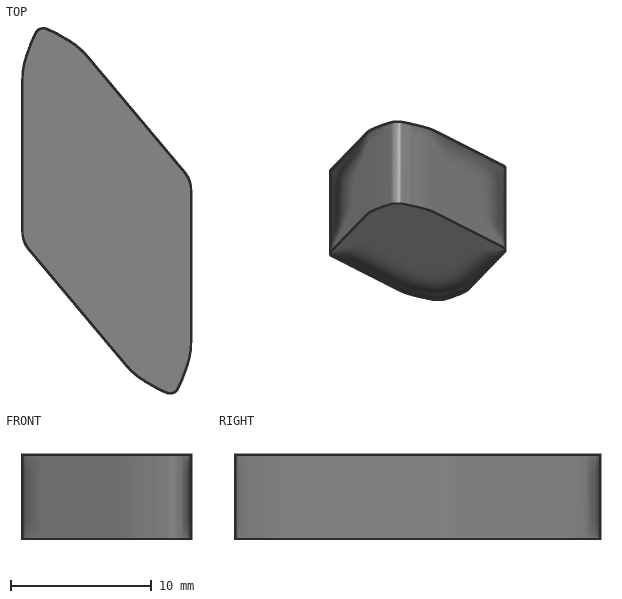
import cadquery as cq
import math

thickness = 6.0
inscribed_radius = 6.0
tip_angle = 40.0
tip_reach = 13.765

obtuse_corner_radius = 2.0
shoulder_radius = 5.0
blend_radius = 1.2
wiper_radius = 18.0
nose_corner_radius = 0.58
crown_radius = 0.65

crown_limit = 10.0
wiper_start = 43.4
wiper_end = 45.6
flank_normal = 50.0
side_normal = 90.0 - tip_angle / 2


def offset(point, distance, angle):
    """Point at a distance from another one, in the given direction."""
    turn = math.radians(angle)
    return (point[0] + distance * math.cos(turn), point[1] + distance * math.sin(turn))


def height_along(point, angle):
    """Distance of a point from the origin, measured in the given direction."""
    turn = math.radians(angle)
    return point[0] * math.cos(turn) + point[1] * math.sin(turn)


def mirrored(arc):
    """The arc reflected in the long diagonal."""
    centre, radius, start, end = arc
    return ((centre[0], -centre[1]), radius, -end, -start)


def half_turned(arc):
    """The arc turned by 180 degrees about the centre of the plate."""
    centre, radius, start, end = arc
    return ((-centre[0], -centre[1]), radius, start + 180, end + 180)


def tip_arcs():
    """All arcs around one tip, from one long side to the other."""
    crown_centre = (tip_reach - crown_radius, 0)
    nose_centre = offset(crown_centre, crown_radius - nose_corner_radius, crown_limit)
    wiper_centre = offset(nose_centre, nose_corner_radius - wiper_radius, wiper_start)
    blend_centre = offset(wiper_centre, wiper_radius - blend_radius, wiper_end)

    flank_distance = height_along(blend_centre, flank_normal) + blend_radius
    side_foot = offset((0, 0), inscribed_radius - shoulder_radius, side_normal)
    missing_height = flank_distance - shoulder_radius - height_along(side_foot, flank_normal)
    along_side = missing_height / math.sin(math.radians(side_normal - flank_normal))
    shoulder_centre = offset(side_foot, along_side, side_normal - 90)

    crown = (crown_centre, crown_radius, -crown_limit, crown_limit)
    upper = [
        (nose_centre, nose_corner_radius, crown_limit, wiper_start),
        (wiper_centre, wiper_radius, wiper_start, wiper_end),
        (blend_centre, blend_radius, wiper_end, flank_normal),
        (shoulder_centre, shoulder_radius, flank_normal, side_normal),
    ]
    lower = [mirrored(arc) for arc in reversed(upper)]
    return lower + [crown] + upper


def obtuse_corner_arc():
    """Rounded corner at the end of the short diagonal."""
    inset = inscribed_radius - obtuse_corner_radius
    centre = (0, inset / math.cos(math.radians(tip_angle / 2)))
    return (centre, obtuse_corner_radius, side_normal, 180 - side_normal)


def arc_chain(arcs):
    """Closed outline through the arcs, with straight lines across the gaps between them."""
    coincidence = 1e-6
    first_centre, first_radius, first_start, _ = arcs[0]
    position = offset(first_centre, first_radius, first_start)
    outline = cq.Workplane("XY").moveTo(*position)
    for centre, radius, start, end in arcs:
        begin = offset(centre, radius, start)
        middle = offset(centre, radius, (start + end) / 2)
        if math.dist(position, begin) > coincidence:
            outline = outline.lineTo(*begin)
        position = offset(centre, radius, end)
        outline = outline.threePointArc(middle, position)
    return outline.close()


half_outline = tip_arcs() + [obtuse_corner_arc()]
full_outline = half_outline + [half_turned(arc) for arc in half_outline]
plate = arc_chain(full_outline).extrude(thickness)

diagonal_direction = 90 + tip_angle / 2
result = plate.rotate((0, 0, 0), (0, 0, 1), diagonal_direction)